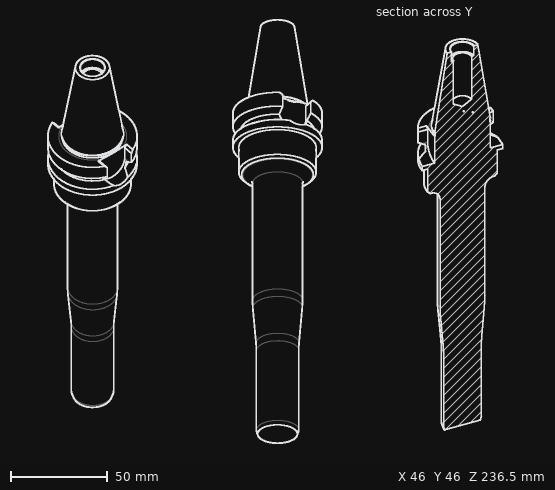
import cadquery as cq
import math

total_height = 236.5
gauge_z = 188.2
flange_top_z = 186.8
upper_rim_bottom_z = 178.7
groove_top_z = 176.0
groove_bottom_z = 173.0
lower_rim_top_z = 171.0
flange_bottom_z = 166.7
collar_bottom_z = 150.8
transition_top_z = 75.6
transition_bottom_z = 50.8

taper_small_radius = 8.86
taper_large_radius = 16.0
neck_radius = 31.2 / 2
flange_radius = 46.0 / 2
groove_radius = 19.1
collar_radius = 40.0 / 2
shank_radius = 26.0 / 2
nose_radius = 22.0 / 2

relief_radius = 17.5
relief_depth = 0.5
collar_chamfer = 1.5
root_fillet = 5.0
transition_blend_length = 2.1
nose_chamfer_width = 0.7
nose_chamfer_height = 2.4

slot_half_width = 8.15
slot_floor_x = 16.0
slot_bottom_z = 169.5
slot_chamfer = 1.5

mouth_radius = 13.0 / 2
pilot_radius = 12.5 / 2
drill_radius = 10.2 / 2
pilot_depth = 6.1
drill_depth = 33.0
drill_tip_angle = 118.0


def make_body():
    """Revolve the outer profile and blend both ends of the conical transition."""
    root_top_radius = shank_radius + root_fillet
    root_bottom_z = collar_bottom_z - root_fillet
    arc_offset = root_fillet * (1 - math.sqrt(0.5))
    slope_angle = math.atan2(shank_radius - nose_radius, transition_top_z - transition_bottom_z)
    blend_dr = transition_blend_length * math.sin(slope_angle)
    blend_dz = transition_blend_length * math.cos(slope_angle)
    return (
        cq.Workplane("XZ")
        .moveTo(0, 0)
        .lineTo(nose_radius - nose_chamfer_width, 0)
        .lineTo(nose_radius, nose_chamfer_height)
        .lineTo(nose_radius, transition_bottom_z - transition_blend_length)
        .tangentArcPoint(
            (nose_radius + blend_dr, transition_bottom_z + blend_dz), relative=False
        )
        .lineTo(shank_radius - blend_dr, transition_top_z - blend_dz)
        .tangentArcPoint(
            (shank_radius, transition_top_z + transition_blend_length), relative=False
        )
        .lineTo(shank_radius, root_bottom_z)
        .threePointArc(
            (shank_radius + arc_offset, collar_bottom_z - arc_offset),
            (root_top_radius, collar_bottom_z),
        )
        .lineTo(collar_radius - collar_chamfer, collar_bottom_z)
        .lineTo(collar_radius, collar_bottom_z + collar_chamfer)
        .lineTo(collar_radius, flange_bottom_z)
        .lineTo(flange_radius, flange_bottom_z)
        .lineTo(flange_radius, lower_rim_top_z)
        .lineTo(groove_radius, groove_bottom_z)
        .lineTo(groove_radius, groove_top_z)
        .lineTo(flange_radius, upper_rim_bottom_z)
        .lineTo(flange_radius, flange_top_z)
        .lineTo(relief_radius, flange_top_z)
        .lineTo(neck_radius, flange_top_z - relief_depth)
        .lineTo(neck_radius, gauge_z)
        .lineTo(taper_large_radius, gauge_z)
        .lineTo(taper_small_radius, total_height)
        .lineTo(0, total_height)
        .close()
        .revolve(360, (0, 0, 0), (0, 1, 0))
    )


def make_slot(side):
    """Round-bottomed drive slot with chamfered top edges; side is +1 or -1 along X."""
    arc_center_z = slot_bottom_z + slot_half_width
    chamfer_bottom_z = flange_top_z - slot_chamfer
    chamfer_half_width = slot_half_width + slot_chamfer
    return (
        cq.Workplane("YZ", origin=(side * slot_floor_x, 0, 0))
        .moveTo(-slot_half_width, arc_center_z)
        .threePointArc((0, slot_bottom_z), (slot_half_width, arc_center_z))
        .lineTo(slot_half_width, chamfer_bottom_z)
        .lineTo(chamfer_half_width, flange_top_z)
        .lineTo(-chamfer_half_width, flange_top_z)
        .lineTo(-slot_half_width, chamfer_bottom_z)
        .close()
        .extrude(side * flange_radius)
    )


def make_bore():
    """Chamfered pilot bore followed by a smaller drilled hole with a conical tip."""
    pilot_bottom_z = total_height - pilot_depth
    drill_bottom_z = total_height - drill_depth
    tip_height = drill_radius / math.tan(math.radians(drill_tip_angle / 2))
    return (
        cq.Workplane("XZ")
        .moveTo(0, total_height)
        .lineTo(mouth_radius, total_height)
        .lineTo(pilot_radius, total_height - (mouth_radius - pilot_radius))
        .lineTo(pilot_radius, pilot_bottom_z)
        .lineTo(drill_radius, pilot_bottom_z)
        .lineTo(drill_radius, drill_bottom_z)
        .lineTo(0, drill_bottom_z - tip_height)
        .close()
        .revolve(360, (0, 0, 0), (0, 1, 0))
    )


result = make_body().cut(make_bore())
for slot_side in (1, -1):
    result = result.cut(make_slot(slot_side))